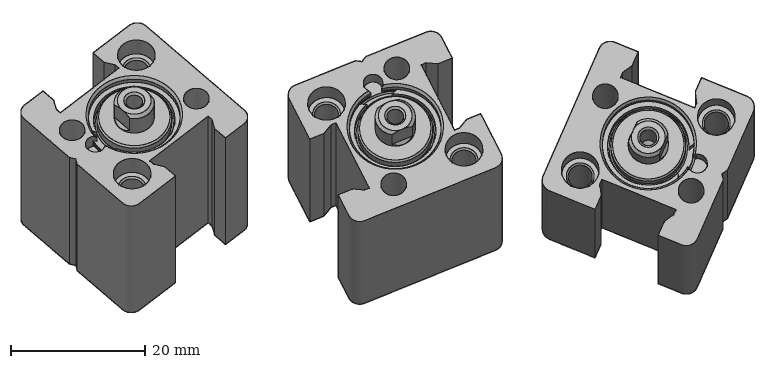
import cadquery as cq
import math

TOTAL_HEIGHT = 30.5
HOUSING_WIDTH = 25.0
HOUSING_HEIGHT = 27.0
CORNER_RADIUS = 1.8
HALF_WIDTH = HOUSING_WIDTH / 2

SLOT_OFFSET = 1.8
SLOT_MOUTH_HALF_WIDTH = 5.12
SLOT_INNER_HALF_WIDTH = 6.0
SLOT_FLOOR_X = 7.8
SLOT_TAPER_INNER_X = 8.63
SLOT_TAPER_OUTER_X = 10.15

V_GROOVE_HALF_WIDTH = 0.85
V_GROOVE_DEPTH = 0.52

MOUNT_X = -7.75
MOUNT_Y = 7.75
MOUNT_DIAMETER = 3.6
MOUNT_CHAMFER_DIAMETER = 4.15
COUNTERBORE_DIAMETER = 5.6
COUNTERBORE_DEPTH = 3.5
PLAIN_HOLE_X = 4.25
PLAIN_HOLE_Y = 8.75
PLAIN_HOLE_DIAMETER = 3.8

BORE_DIAMETER = 13.7
BORE_DEPTH = 7.5
BORE_MOUTH_DIAMETER = 14.4
BORE_MOUTH_DEPTH = 0.5
RING_TOP_DEPTH = 1.25
RING_BOTTOM_DEPTH = 2.5
RING_OUTER_DIAMETER = 14.7
RING_INNER_DIAMETER = 12.15
RELIEF_DIAMETER = 2.93
RELIEF_Y = -8.0

GAP_APEX_Y = -4.65
GAP_HALF_ANGLE = 62.6

COVER_TOP_DEPTH = 0.6
COVER_NECK_DIAMETER = 11.2
COVER_FOOT_DIAMETER = 11.68
COVER_CHAMFER = 0.27

ROD_DIAMETER = 6.0
ROD_CHAMFER = 0.5
ROD_ACROSS_FLATS = 5.0
ROD_FLAT_LENGTH = 3.55
ROD_HOLE_DIAMETER = 2.47
ROD_HOLE_MOUTH_DIAMETER = 3.15
ROD_HOLE_DEPTH = 6.1
DRILL_HALF_ANGLE = 59.0

BORE_FLOOR_Z = HOUSING_HEIGHT - BORE_DEPTH


def cylinder(diameter, bottom, top, x=0.0, y=0.0):
    """Upright cylinder between two heights."""
    return cq.Workplane("XY", origin=(x, y, bottom)).circle(diameter / 2).extrude(top - bottom)


def turned(points):
    """Solid of revolution about Z from (radius, height) points."""
    return cq.Workplane("XZ").polyline(points).close().revolve(360, (0, 0, 0), (0, 1, 0))


def side_slot():
    """Slot on the -X side, with lips that taper inwards to a wider floor."""
    corners = [
        (HALF_WIDTH, SLOT_MOUTH_HALF_WIDTH),
        (SLOT_TAPER_OUTER_X, SLOT_MOUTH_HALF_WIDTH),
        (SLOT_TAPER_INNER_X, SLOT_INNER_HALF_WIDTH),
        (SLOT_FLOOR_X, SLOT_INNER_HALF_WIDTH),
    ]
    upper = [(-x, y - SLOT_OFFSET) for x, y in corners]
    lower = [(-x, -y - SLOT_OFFSET) for x, y in reversed(corners)]
    return cq.Workplane("XY").polyline(upper + lower).close().extrude(HOUSING_HEIGHT)


def v_groove():
    return (
        cq.Workplane("XY")
        .moveTo(-V_GROOVE_HALF_WIDTH, -HALF_WIDTH)
        .lineTo(0, -HALF_WIDTH + V_GROOVE_DEPTH)
        .lineTo(V_GROOVE_HALF_WIDTH, -HALF_WIDTH)
        .close()
        .extrude(HOUSING_HEIGHT)
    )


def mounting_hole():
    """Through hole with a chamfered shoulder under a counterbore."""
    shoulder_z = HOUSING_HEIGHT - COUNTERBORE_DEPTH
    hole_radius = MOUNT_DIAMETER / 2
    chamfer_radius = MOUNT_CHAMFER_DIAMETER / 2
    bore_radius = COUNTERBORE_DIAMETER / 2
    profile = [
        (0, 0),
        (hole_radius, 0),
        (hole_radius, shoulder_z - (chamfer_radius - hole_radius)),
        (chamfer_radius, shoulder_z),
        (bore_radius, shoulder_z),
        (bore_radius, HOUSING_HEIGHT),
        (0, HOUSING_HEIGHT),
    ]
    return turned(profile).translate((MOUNT_X, MOUNT_Y, 0))


def central_bore():
    """Blind bore with a flared mouth, a ring groove, a chamfered seat below it, and a relief at -Y."""
    bore_radius = BORE_DIAMETER / 2
    mouth_radius = BORE_MOUTH_DIAMETER / 2
    bore = turned([
        (0, BORE_FLOOR_Z),
        (bore_radius, BORE_FLOOR_Z),
        (bore_radius, HOUSING_HEIGHT - BORE_MOUTH_DEPTH),
        (mouth_radius, HOUSING_HEIGHT),
        (0, HOUSING_HEIGHT),
    ])
    groove_bottom_z = HOUSING_HEIGHT - RING_BOTTOM_DEPTH
    groove = cylinder(RING_OUTER_DIAMETER, groove_bottom_z, HOUSING_HEIGHT - RING_TOP_DEPTH)
    relief = cylinder(RELIEF_DIAMETER, groove_bottom_z, HOUSING_HEIGHT, y=RELIEF_Y)
    seat_chamfer = turned([
        (0, groove_bottom_z - BORE_MOUTH_DEPTH),
        (bore_radius, groove_bottom_z - BORE_MOUTH_DEPTH),
        (mouth_radius, groove_bottom_z),
        (0, groove_bottom_z),
    ])
    return bore.union(groove).union(relief).union(seat_chamfer)


def make_housing():
    body = (
        cq.Workplane("XY")
        .rect(HOUSING_WIDTH, HOUSING_WIDTH)
        .extrude(HOUSING_HEIGHT)
        .edges("|Z")
        .fillet(CORNER_RADIUS)
    )
    plain_hole = cylinder(PLAIN_HOLE_DIAMETER, 0, HOUSING_HEIGHT, PLAIN_HOLE_X, PLAIN_HOLE_Y)
    for paired_cut in (side_slot(), mounting_hole(), plain_hole):
        for turn in (0, 180):
            body = body.cut(paired_cut.rotate((0, 0, 0), (0, 0, 1), turn))
    return body.cut(v_groove()).cut(central_bore())


def make_rod_cover():
    """Stepped sleeve that fills the bore below the ring and guides the rod."""
    top_z = HOUSING_HEIGHT - COVER_TOP_DEPTH
    flange_z = HOUSING_HEIGHT - RING_BOTTOM_DEPTH
    rod_radius = ROD_DIAMETER / 2
    flange_radius = BORE_DIAMETER / 2
    neck_radius = COVER_NECK_DIAMETER / 2
    foot_radius = COVER_FOOT_DIAMETER / 2
    return turned([
        (rod_radius, BORE_FLOOR_Z),
        (flange_radius, BORE_FLOOR_Z),
        (flange_radius, flange_z),
        (foot_radius, flange_z),
        (neck_radius, flange_z + foot_radius - neck_radius),
        (neck_radius, top_z - COVER_CHAMFER),
        (neck_radius - COVER_CHAMFER, top_z),
        (rod_radius, top_z),
    ])


def make_retaining_ring():
    """Flat ring in the bore groove, open on the -Y side."""
    bottom_z = HOUSING_HEIGHT - RING_BOTTOM_DEPTH
    top_z = HOUSING_HEIGHT - RING_TOP_DEPTH
    ring = cylinder(RING_OUTER_DIAMETER, bottom_z, top_z).cut(
        cylinder(RING_INNER_DIAMETER, bottom_z, top_z)
    )
    gap_drop = RING_OUTER_DIAMETER / 2
    gap_reach = gap_drop * math.tan(math.radians(GAP_HALF_ANGLE))
    gap = (
        cq.Workplane("XY", origin=(0, GAP_APEX_Y, bottom_z))
        .polyline([(0, 0), (-gap_reach, -gap_drop), (gap_reach, -gap_drop)])
        .close()
        .extrude(top_z - bottom_z)
    )
    return ring.cut(gap)


def make_piston_rod():
    rod = cylinder(ROD_DIAMETER, BORE_FLOOR_Z, TOTAL_HEIGHT).faces(">Z").chamfer(ROD_CHAMFER)

    flat_y = ROD_ACROSS_FLATS / 2
    flat_end_z = TOTAL_HEIGHT - ROD_FLAT_LENGTH
    edge_y = ROD_DIAMETER / 2
    flat_cut = (
        cq.Workplane("YZ")
        .moveTo(flat_y, TOTAL_HEIGHT)
        .lineTo(flat_y, flat_end_z)
        .lineTo(edge_y, flat_end_z - (edge_y - flat_y))
        .lineTo(edge_y, TOTAL_HEIGHT)
        .close()
        .extrude(ROD_DIAMETER / 2, both=True)
    )
    for turn in (0, 180):
        rod = rod.cut(flat_cut.rotate((0, 0, 0), (0, 0, 1), turn))

    hole_radius = ROD_HOLE_DIAMETER / 2
    mouth_radius = ROD_HOLE_MOUTH_DIAMETER / 2
    cone_z = TOTAL_HEIGHT - ROD_HOLE_DEPTH
    hole = turned([
        (0, cone_z - hole_radius / math.tan(math.radians(DRILL_HALF_ANGLE))),
        (hole_radius, cone_z),
        (hole_radius, TOTAL_HEIGHT - (mouth_radius - hole_radius)),
        (mouth_radius, TOTAL_HEIGHT),
        (0, TOTAL_HEIGHT),
    ])
    return rod.cut(hole)


housing = make_housing()
rod_cover = make_rod_cover()
retaining_ring = make_retaining_ring()
piston_rod = make_piston_rod()

result = cq.Compound.makeCompound([
    housing.val(),
    rod_cover.val(),
    retaining_ring.val(),
    piston_rod.val(),
])